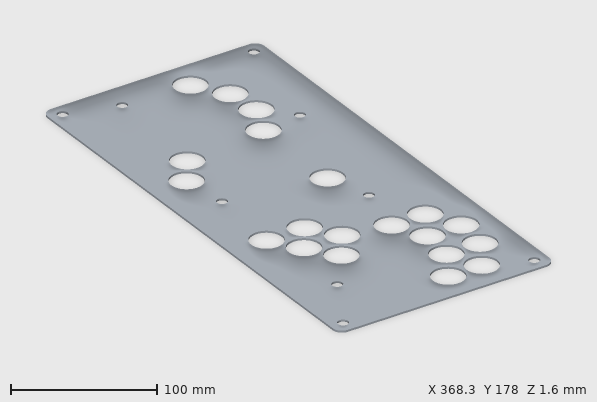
import cadquery as cq

plate_length = 368.3
plate_width = 178.0
plate_thickness = 1.6
corner_radius = 7.5

button_diameter = 25.0
screw_diameter = 8.0

corner_inset = 10.3
inner_screw_centers = [
    (-161.5, -37.5),
    (-83.2, 56.5),
    (-12.5, -54.5),
    (35.7, 34.3),
    (127.0, -52.3),
]

column_pitch = 27.5
column_lower_centers = [(79.0, 24.3), (105.0, 36.5), (133.5, 33.0), (159.5, 17.3)]

finger_centers = [(-159.5, 17.0), (-134.5, 33.0), (-106.0, 35.7), (-79.5, 24.0)]
middle_center = (0, 24.0)

thumb_step = 23.0
thumb_pitch = 31.3
thumb_middle_x = 72.0
thumb_top_y = -11.8
left_thumb_start = (-73.0, -43.0)


def thumb_centers():
    """Centers of the five right thumb buttons and the two left ones."""
    side_y = thumb_top_y - thumb_pitch / 2
    left_x, left_y = left_thumb_start
    return [
        (thumb_middle_x, thumb_top_y),
        (thumb_middle_x, thumb_top_y - thumb_pitch),
        (thumb_middle_x - thumb_step, side_y),
        (thumb_middle_x + thumb_step, side_y),
        (thumb_middle_x - thumb_step, side_y - thumb_pitch),
        (left_x, left_y),
        (left_x + thumb_step, left_y - thumb_pitch / 2),
    ]


def button_centers():
    """Centers of all the button holes."""
    column_upper_centers = [(x, y + column_pitch) for x, y in column_lower_centers]
    columns = column_lower_centers + column_upper_centers
    return columns + finger_centers + [middle_center] + thumb_centers()


def screw_centers():
    """Centers of the corner and inner screw holes."""
    corner_x = plate_length / 2 - corner_inset
    corner_y = plate_width / 2 - corner_inset
    corners = [(sx * corner_x, sy * corner_y) for sx in (-1, 1) for sy in (-1, 1)]
    return corners + inner_screw_centers


def drill(body, centers, diameter):
    """Cut through holes at the given centers."""
    return body.faces(">Z").workplane(origin=(0, 0, 0)).pushPoints(centers).hole(diameter)


plate = cq.Workplane("XY").box(plate_length, plate_width, plate_thickness)
plate = plate.edges("|Z").fillet(corner_radius)
plate = drill(plate, button_centers(), button_diameter)
result = drill(plate, screw_centers(), screw_diameter)